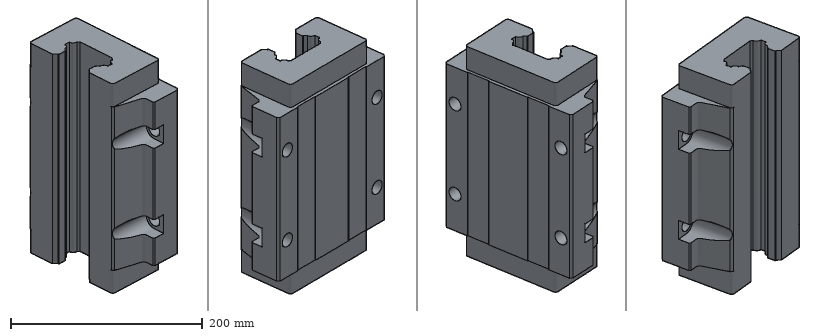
import cadquery as cq
import math

width = 170.0
height = 75.0
length = 256.5
overshoot = 2.5

cap_length = 28.2
block_length = length - 2 * cap_length
block_top_chamfer = 2.5
flange_underside = 37.0
flange_chamfer_x = 1.3
flange_chamfer_y = 1.5
skirt_half_width = 61.5
skirt_chamfer_x = 2.8
skirt_chamfer_y = 2.0
skirt_angle = 15.2
skirt_fillet = 4.5

relief_inner = 26.2
relief_outer = 54.5
relief_depth = 0.8

cap_width = 121.8
cap_height = 70.5
cap_corner_radius = 3.3

channel_top = 38.0
channel_top_chamfer = 2.3
shoulder_half_width = 25.6
groove_centre = 26.5
groove_half_height = 3.3
track_radius = 5.6
mouth_half_width = 22.8
mouth_chamfer = 4.4
lip_half_width = 21.8
lip_top = 14.4

hole_pitch_x = 142.0
hole_pitch_z = 110.0
hole_diameter = 16.0
seat_diameter = 22.8
seat_floor = 51.8


def extrude_along_rail(outline, start, distance):
    """Extrude a closed XY outline upward from the height start."""
    return outline.extrude(distance).translate((0, 0, start))


def make_block():
    half = width / 2
    skirt_rise = flange_underside - skirt_chamfer_y
    skirt_root = skirt_half_width + skirt_rise * math.tan(math.radians(skirt_angle))
    right_side = [
        (skirt_half_width - skirt_chamfer_x, 0),
        (skirt_half_width, skirt_chamfer_y),
        (skirt_root, flange_underside),
        (half - flange_chamfer_x, flange_underside),
        (half, flange_underside + flange_chamfer_y),
        (half, height - block_top_chamfer),
        (half - block_top_chamfer, height),
    ]
    left_side = [(-x, y) for x, y in reversed(right_side)]
    outline = cq.Workplane("XY").polyline(right_side + left_side).close()
    block = extrude_along_rail(outline, cap_length, block_length)

    for side in (-1, 1):
        corner = cq.NearestToPointSelector((side * skirt_root, flange_underside, length / 2))
        block = block.edges("|Z").edges(corner).fillet(skirt_fillet)
    return block


def make_end_caps():
    outline = cq.Workplane("XY").center(0, cap_height / 2).rect(cap_width, cap_height)
    cap = outline.extrude(cap_length).edges("|Z").fillet(cap_corner_radius)
    return cap.union(cap.translate((0, 0, length - cap_length)))


def make_channel():
    """Right half of the rail channel, mirrored about the centre plane."""
    groove_half_width = shoulder_half_width + track_radius
    groove_low = groove_centre - groove_half_height
    groove_high = groove_centre + groove_half_height
    half_outline = (
        cq.Workplane("XY")
        .moveTo(0, 0)
        .lineTo(mouth_half_width + mouth_chamfer, 0)
        .lineTo(mouth_half_width, mouth_chamfer)
        .lineTo(lip_half_width, mouth_chamfer)
        .lineTo(lip_half_width, lip_top)
        .lineTo(mouth_half_width, lip_top)
        .lineTo(shoulder_half_width, groove_low - track_radius)
        .radiusArc((groove_half_width, groove_low), track_radius)
        .lineTo(groove_half_width, groove_high)
        .radiusArc((shoulder_half_width, groove_high + track_radius), track_radius)
        .lineTo(shoulder_half_width, channel_top - channel_top_chamfer)
        .lineTo(shoulder_half_width - channel_top_chamfer, channel_top)
        .lineTo(0, channel_top)
        .close()
    )
    half = extrude_along_rail(half_outline, -overshoot, length + 2 * overshoot)
    return half.union(half.mirror("YZ"))


def make_reliefs():
    relief_width = relief_outer - relief_inner
    relief_centre = (relief_outer + relief_inner) / 2
    centres = [(-relief_centre, height), (relief_centre, height)]
    outline = cq.Workplane("XY").pushPoints(centres).rect(relief_width, 2 * relief_depth)
    return extrude_along_rail(outline, cap_length, block_length)


def make_mounting_cut(side, z):
    """Through hole and round-ended seat, open toward the outer side face."""
    x = side * hole_pitch_x / 2
    start = cq.Workplane("XZ").center(x, z)
    hole = start.circle(hole_diameter / 2).extrude(-(height + overshoot))
    seat_end = start.circle(seat_diameter / 2).extrude(-seat_floor)
    reach = (width - hole_pitch_x) / 2 + overshoot
    seat_opening = start.center(side * reach / 2, 0).rect(reach, seat_diameter).extrude(-seat_floor)
    return hole.union(seat_end).union(seat_opening)


result = make_block().cut(make_reliefs()).union(make_end_caps()).cut(make_channel())
for hole_side in (-1, 1):
    for hole_z in (length / 2 - hole_pitch_z / 2, length / 2 + hole_pitch_z / 2):
        result = result.cut(make_mounting_cut(hole_side, hole_z))